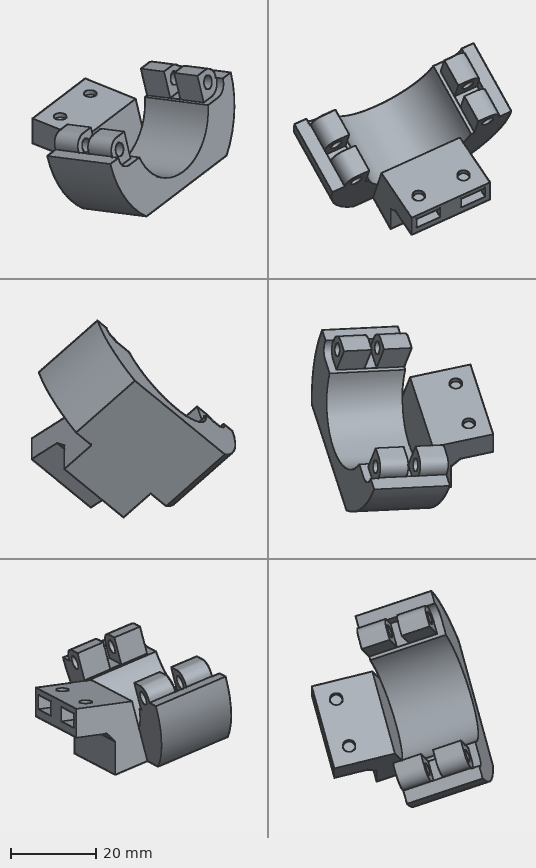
import cadquery as cq
import math

tilt = 15.0

clamp_length = 19.0
outer_radius = 24.0
bore_radius = 14.1
flat_depth = 17.9
ledge_depth = 3.45

lug_length = 7.0
lug_starts = (0.0, 10.05)
lug_inner_y = 14.6
lug_radius = 3.0
lug_top = 3.6
lug_hole_width = 3.0
lug_hole_height = 3.35
gap_pad_height = 0.1
lug_axis_y = lug_inner_y + lug_radius
lug_axis_z = lug_top - lug_radius
lug_outer_y = lug_inner_y + 2 * lug_radius
relief_radius = 3.15

bracket_width = 21.0
arm_front_x = -14.05
arm_top_z = -2.2
arm_height = 7.0
arm_bottom_z = arm_top_z - arm_height
step_x = arm_front_x + 10.2
step_chamfer = 2.25

pocket_spacing = 12.0
pocket_width = 6.4
pocket_height = 3.5
pocket_roof = 1.45
screw_hole_diameter = 3.0
screw_hole_inset = 4.75
screw_hole_depth = 1.25
pocket_depth = screw_hole_inset + pocket_width / 2


def box(x_range, y_range, z_range):
    """Axis-aligned box between the given pairs of limits."""
    sizes = [high - low for low, high in (x_range, y_range, z_range)]
    corner = (x_range[0], y_range[0], z_range[0])
    return cq.Workplane("XY").box(*sizes, centered=False).translate(corner)


def rod(x_start, length, y, z, radius):
    """Cylinder along X."""
    return cq.Workplane("YZ", origin=(x_start, 0, 0)).center(y, z).circle(radius).extrude(length)


def make_lug(x_start):
    """Lug with one rounded outer top edge, reaching down to the ledge."""
    arc_middle = lug_radius * math.sqrt(0.5)
    return (
        cq.Workplane("YZ", origin=(x_start, 0, 0))
        .moveTo(lug_inner_y, -ledge_depth)
        .lineTo(lug_inner_y, lug_top)
        .lineTo(lug_axis_y, lug_top)
        .threePointArc((lug_axis_y + arc_middle, lug_axis_z + arc_middle), (lug_outer_y, lug_axis_z))
        .lineTo(lug_outer_y, -ledge_depth)
        .close()
        .extrude(lug_length)
    )


def make_pin_hole():
    """Upright elliptical hole through both lugs, its top level with a round hole on the lug axis."""
    return (
        cq.Workplane("YZ")
        .center(lug_axis_y, lug_axis_z - (lug_hole_height - lug_hole_width) / 2)
        .ellipse(lug_hole_width / 2, lug_hole_height / 2)
        .extrude(clamp_length)
    )


def make_rear_relief():
    """Round-cornered clearance behind the rear lug."""
    start = lug_starts[1] + lug_length
    length = clamp_length - start
    relief_axis_z = relief_radius - ledge_depth
    x_range = (start, clamp_length)
    relief = rod(start, length, lug_axis_y, relief_axis_z, relief_radius)
    inner_floor = box(x_range, (0, lug_axis_y), (-ledge_depth, 0))
    straight_wall = box(x_range, (lug_axis_y, lug_axis_y + relief_radius), (relief_axis_z, 0))
    return relief.union(inner_floor).union(straight_wall)


def make_clamp():
    ring = rod(0, clamp_length, 0, 0, outer_radius)
    ring = ring.intersect(
        box((0, clamp_length), (-outer_radius, outer_radius), (-flat_depth, 0))
    )
    ring = ring.cut(rod(0, clamp_length, 0, 0, bore_radius))

    rear_lug_end = lug_starts[1] + lug_length
    seat = box((0, rear_lug_end), (0, lug_outer_y), (-ledge_depth, 0)).union(make_rear_relief())
    ring = ring.cut(seat).cut(seat.mirror("XZ"))
    for start in lug_starts:
        lug = make_lug(start)
        ring = ring.union(lug).union(lug.mirror("XZ"))
    pad_top = gap_pad_height - ledge_depth
    gap_pad = box((0, lug_starts[1]), (lug_inner_y, lug_outer_y), (-ledge_depth, pad_top))
    ring = ring.union(gap_pad).union(gap_pad.mirror("XZ"))
    pin_hole = make_pin_hole()
    ring = ring.cut(pin_hole).cut(pin_hole.mirror("XZ"))
    return ring.rotate((0, 0, 0), (0, 1, 0), -tilt)


def make_bracket():
    """Arm and foot, ending on the clamp's front face and bottom flat."""
    slope = math.tan(math.radians(tilt))
    cosine = math.cos(math.radians(tilt))
    sine = math.sin(math.radians(tilt))
    foot_z = step_x * slope - flat_depth / cosine
    bracket = (
        cq.Workplane("XZ")
        .polyline([
            (arm_front_x, arm_top_z),
            (-arm_top_z * slope, arm_top_z),
            (flat_depth * sine, -flat_depth * cosine),
            (step_x, foot_z),
            (step_x, arm_bottom_z - step_chamfer),
            (step_x - step_chamfer, arm_bottom_z),
            (arm_front_x, arm_bottom_z),
        ])
        .close()
        .extrude(bracket_width / 2, both=True)
    )
    pocket_top = arm_top_z - pocket_roof
    for side in (-1, 1):
        y = side * pocket_spacing / 2
        pocket = box(
            (arm_front_x, arm_front_x + pocket_depth),
            (y - pocket_width / 2, y + pocket_width / 2),
            (pocket_top - pocket_height, pocket_top),
        )
        screw_hole = (
            cq.Workplane("XY", origin=(arm_front_x + screw_hole_inset, y, arm_top_z))
            .circle(screw_hole_diameter / 2)
            .extrude(-screw_hole_depth)
        )
        bracket = bracket.cut(pocket).cut(screw_hole)
    return bracket


result = make_clamp().union(make_bracket())